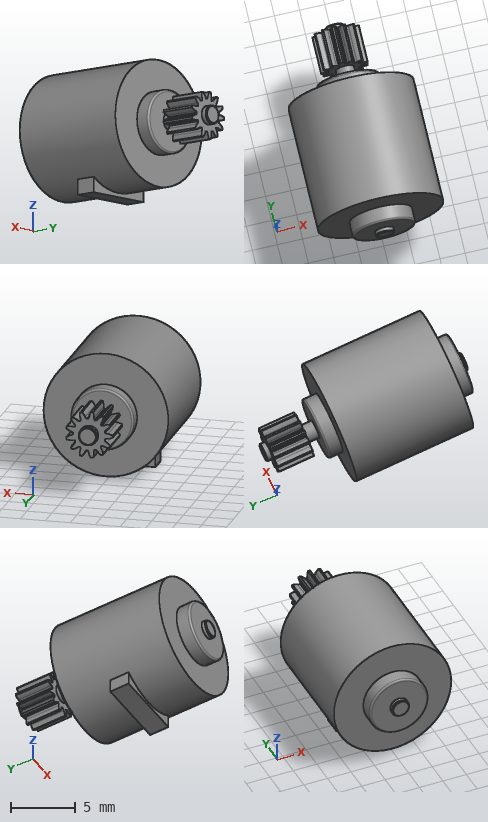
import cadquery as cq
import math


CAN_DIAMETER = 10.0
CAN_LENGTH = 10.0
BOSS_DIAMETER = 5.0
BOSS_LENGTH = 1.19
BOSS_FILLET = 0.15
BLOCK_WIDTH = 5.75
BLOCK_LENGTH = 1.67
BLOCK_DROP = 0.31

TOTAL_LENGTH = 17.23
SHAFT_DIAMETER = 1.48
SHAFT_CHAMFER = 0.09
PINION_STUB = 0.5

TOOTH_COUNT = 13
PINION_LENGTH = 3.0
PINION_GAP = 0.98
TIP_RADIUS = 1.88
FLANK_RADIUS = 1.69
BASE_RADIUS = 1.5
FILLET_RADIUS = 1.36
ROOT_RADIUS = 1.3
TIP_HALF_WIDTH = 0.09
FLANK_HALF_WIDTH = 0.164
BASE_HALF_WIDTH = 0.2
FILLET_HALF_WIDTH = 0.22
ROOT_HALF_WIDTH = 0.28
FIRST_TOOTH_ANGLE = 180.3

BOSS_END = CAN_LENGTH / 2 + BOSS_LENGTH
PINION_START = BOSS_END + PINION_GAP
SHAFT_REAR_END = PINION_START + PINION_LENGTH + PINION_STUB
SHAFT_FRONT_END = SHAFT_REAR_END - TOTAL_LENGTH


def cylinder_along_y(diameter, y_start, y_end):
    """Solid cylinder on the Y axis between two Y positions."""
    base = cq.Workplane("XZ", origin=(0, y_start, 0))
    return base.circle(diameter / 2).extrude(y_start - y_end)


def make_housing():
    """Can with a rounded boss at each end, a block underneath and a through bore."""
    bosses = cylinder_along_y(BOSS_DIAMETER, -BOSS_END, BOSS_END)
    bosses = bosses.faces("<Y or >Y").edges().fillet(BOSS_FILLET)
    can = cylinder_along_y(CAN_DIAMETER, -CAN_LENGTH / 2, CAN_LENGTH / 2)

    block_height = CAN_DIAMETER / 2 + BLOCK_DROP
    block = cq.Workplane("XY").box(BLOCK_WIDTH, BLOCK_LENGTH, block_height)
    block = block.translate((0, 0, -block_height / 2))

    bore = cylinder_along_y(SHAFT_DIAMETER, -BOSS_END, BOSS_END)
    return can.union(bosses).union(block).cut(bore)


def make_shaft():
    """Plain shaft with chamfered ends."""
    shaft = cylinder_along_y(SHAFT_DIAMETER, SHAFT_FRONT_END, SHAFT_REAR_END)
    return shaft.faces("<Y or >Y").edges().chamfer(SHAFT_CHAMFER)


def rim_point(radius, angle):
    """Point (x, z) at a radius and an angle in radians."""
    return (radius * math.cos(angle), radius * math.sin(angle))


def tooth_point(radius, half_width, tooth_angle):
    """Point of a tooth flank, at a signed half width from the tooth's centre line."""
    return rim_point(radius, tooth_angle + math.asin(half_width / radius))


def make_pinion():
    """Spur pinion with curved flanks, bored to fit the shaft."""
    pitch_angle = 2 * math.pi / TOOTH_COUNT
    first_angle = math.radians(FIRST_TOOTH_ANGLE)

    profile = cq.Workplane("XZ", origin=(0, PINION_START, 0))
    profile = profile.moveTo(*tooth_point(ROOT_RADIUS, -ROOT_HALF_WIDTH, first_angle))
    for index in range(TOOTH_COUNT):
        angle = first_angle + index * pitch_angle
        next_root = tooth_point(ROOT_RADIUS, -ROOT_HALF_WIDTH, angle + pitch_angle)
        profile = profile.threePointArc(
            tooth_point(FILLET_RADIUS, -FILLET_HALF_WIDTH, angle),
            tooth_point(BASE_RADIUS, -BASE_HALF_WIDTH, angle),
        )
        profile = profile.threePointArc(
            tooth_point(FLANK_RADIUS, -FLANK_HALF_WIDTH, angle),
            tooth_point(TIP_RADIUS, -TIP_HALF_WIDTH, angle),
        )
        profile = profile.threePointArc(
            rim_point(TIP_RADIUS, angle),
            tooth_point(TIP_RADIUS, TIP_HALF_WIDTH, angle),
        )
        profile = profile.threePointArc(
            tooth_point(FLANK_RADIUS, FLANK_HALF_WIDTH, angle),
            tooth_point(BASE_RADIUS, BASE_HALF_WIDTH, angle),
        )
        profile = profile.threePointArc(
            tooth_point(FILLET_RADIUS, FILLET_HALF_WIDTH, angle),
            tooth_point(ROOT_RADIUS, ROOT_HALF_WIDTH, angle),
        )
        profile = profile.threePointArc(rim_point(ROOT_RADIUS, angle + pitch_angle / 2), next_root)

    blank = profile.close().extrude(-PINION_LENGTH)
    bore = cylinder_along_y(SHAFT_DIAMETER, PINION_START, PINION_START + PINION_LENGTH)
    return blank.cut(bore)


housing = make_housing()
shaft = make_shaft()
pinion = make_pinion()

result = cq.Compound.makeCompound([housing.val(), shaft.val(), pinion.val()])